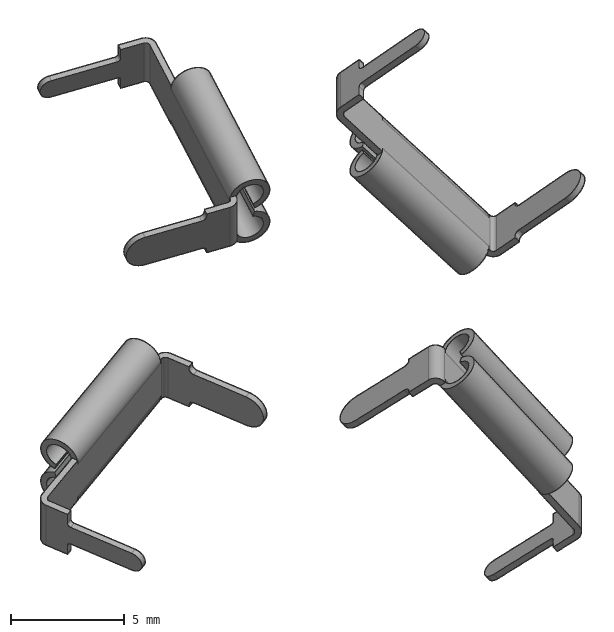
import cadquery as cq
import math

thickness = 0.3
bend_radius = 0.51
inner_bend_radius = bend_radius - thickness

length = 10.77
web_width = 2.52
leg_reach = 5.08
shoulder_reach = 1.29

left_tab_width = 1.06
left_tab_fillet = 0.16
right_tab_width = 1.79
right_tab_fillet = 0.24

barrel_start = 3.07
barrel_length = 7.14
barrel_radius = 0.95
barrel_height = 3.96
barrel_sweep = 256.0
barrel_center_y = barrel_radius
barrel_center_z = barrel_height / 2 - barrel_radius


def make_channel():
    """U-shaped strip: the web and two legs with rounded bends."""
    outer = (
        cq.Workplane("XY")
        .rect(length, leg_reach + thickness, centered=False)
        .extrude(web_width)
        .edges("|Z and >Y")
        .fillet(bend_radius)
    )
    inner = (
        cq.Workplane("XY")
        .center(thickness, 0)
        .rect(length - 2 * thickness, leg_reach, centered=False)
        .extrude(web_width)
        .edges("|Z and >Y")
        .fillet(inner_bend_radius)
    )
    return outer.cut(inner).translate((0, -leg_reach, -web_width / 2))


def leg_trim(start_x, tab_width, fillet_radius):
    """Material removed around a tab, leaving shoulders and a round tip."""
    half = tab_width / 2
    tip_center_y = half - leg_reach
    fillet_end_y = -shoulder_reach - fillet_radius
    fillet_top = half + fillet_radius
    edge = web_width / 2
    fillet_mid_offset = fillet_radius * (1 - math.sqrt(0.5))
    fillet_mid_y = -shoulder_reach - fillet_mid_offset
    fillet_mid_z = half + fillet_mid_offset
    return (
        cq.Workplane("YZ", origin=(start_x, 0, 0))
        .moveTo(-shoulder_reach, edge)
        .lineTo(-shoulder_reach, fillet_top)
        .threePointArc((fillet_mid_y, fillet_mid_z), (fillet_end_y, half))
        .lineTo(tip_center_y, half)
        .threePointArc((-leg_reach, 0), (tip_center_y, -half))
        .lineTo(fillet_end_y, -half)
        .threePointArc((fillet_mid_y, -fillet_mid_z), (-shoulder_reach, -fillet_top))
        .lineTo(-shoulder_reach, -edge)
        .lineTo(-leg_reach, -edge)
        .lineTo(-leg_reach - thickness, 0)
        .lineTo(-leg_reach, edge)
        .close()
        .extrude(thickness)
    )


def barrel_point(radius, angle):
    """Point on the upper barrel; angle 0 touches the web."""
    turn = math.radians(angle)
    return (
        barrel_center_y - radius * math.cos(turn),
        barrel_center_z + radius * math.sin(turn),
    )


def make_barrel():
    """Upper open curl, tangent to the web."""
    inner_radius = barrel_radius - thickness
    middle = barrel_sweep / 2
    return (
        cq.Workplane("YZ", origin=(barrel_start, 0, 0))
        .moveTo(*barrel_point(barrel_radius, 0))
        .threePointArc(barrel_point(barrel_radius, middle), barrel_point(barrel_radius, barrel_sweep))
        .lineTo(*barrel_point(inner_radius, barrel_sweep))
        .threePointArc(barrel_point(inner_radius, middle), barrel_point(inner_radius, 0))
        .close()
        .extrude(barrel_length)
    )


def make_edge_trim():
    """Flat web edge replaced by the start of the upper barrel."""
    height = web_width / 2 - barrel_center_z
    return cq.Workplane("XY").box(barrel_length, thickness, height, centered=False).translate(
        (barrel_start, 0, barrel_center_z)
    )


result = make_channel()
result = result.cut(leg_trim(0, left_tab_width, left_tab_fillet))
result = result.cut(leg_trim(length - thickness, right_tab_width, right_tab_fillet))

barrel = make_barrel()
edge_trim = make_edge_trim()
result = result.cut(edge_trim).cut(edge_trim.mirror("XY"))
result = result.union(barrel).union(barrel.mirror("XY"))